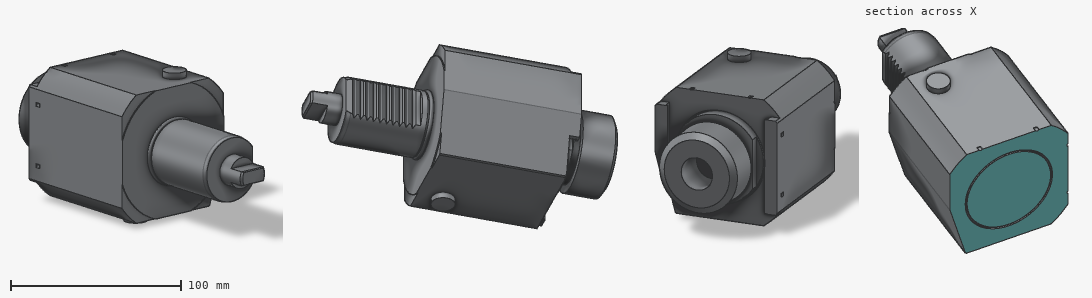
import cadquery as cq
import math

OVERALL_LENGTH = 185.0

NUT_RADIUS = 25.0
NUT_LENGTH = 22.4
NUT_CHAMFER_LENGTH = 2.4
NUT_CHAMFER_DEPTH = 4.0
BORE_RADIUS = 10.0
NECK_RADIUS = 20.0
NECK_END = 26.3
NECK_RELIEF_RADIUS = 19.2

COLLAR_RADIUS = 27.7
COLLAR_START = 28.5
COLLAR_FLAT_WIDTH = 46.2
GAP_RADIUS = 28.7
GAP_DEPTH = 1.8

HOUSING_START = 34.0
HOUSING_END = 112.6
HOUSING_WIDTH = 78.2
HALF_WIDTH = HOUSING_WIDTH / 2
HOUSING_CORNER_RADIUS = 48.0
SLANT_ANGLE = 15.0
REAR_DISC_RADIUS = 41.5
REAR_DISC_HEIGHT = 0.7

RAIL_START = 28.0
RAIL_WIDTH = 6.7
RAIL_TOP = 29.2
SHORT_RAIL_BOTTOM = -14.0
LIP_THICKNESS = 1.1
LIP_OVERHANG = 1.3

MARK_RADIUS = 1.5
MARK_DEPTH = 0.5
MARK_START = 34.5
MARK_LENGTH = 3.0
MARK_OFFSET = 18.7

BUTTON_RADIUS = 7.0
BUTTON_HEIGHT = 3.9
BUTTON_X = 96.0
BUTTON_OFFSET = 15.0

SEAL_RADIUS = 1.3
SEAL_CENTER_RADIUS = 19.6
SHANK_START = HOUSING_END + 2 * SEAL_RADIUS
SHANK_RADIUS = 20.0
SHANK_END = 165.5
SHANK_LEAD = 0.5
SHANK_FRONT_LEAD_LENGTH = 1.1
SHANK_REAR_LEAD_LENGTH = 2.2
SHANK_END_LAND = 0.7
FLAT_START = 119.7
FLAT_HEIGHT = 15.9
NOTCH_COUNT = 10
FIRST_NOTCH_X = 124.1
LAST_NOTCH_X = 160.2
NOTCH_PITCH = (LAST_NOTCH_X - FIRST_NOTCH_X) / (NOTCH_COUNT - 1)
NOTCH_DEPTH = 1.7
NOTCH_HALF_WIDTH = 1.5

TANG_RADIUS = 9.5
TANG_FLAT_START = 174.6
TANG_THICKNESS = 8.5
TANG_CHAMFER = 1.1
TANG_FLAT_TAPER = 0.4


def cylinder(start, end, radius):
    """Round bar about the X axis between two X stations."""
    return cq.Workplane("YZ", origin=(start, 0, 0)).circle(radius).extrude(end - start)


def block(x_range, y_range, z_range):
    """Box given by its limits along each axis."""
    lows, highs = zip(x_range, y_range, z_range)
    sizes = [high - low for low, high in zip(lows, highs)]
    return cq.Workplane("XY").box(*sizes, centered=False).translate(lows)


def housing_envelope(start, end):
    """Square bar with turned corners and one slanted side at +Y, -Z."""
    square = block((start, end), (-HALF_WIDTH, HALF_WIDTH), (-HALF_WIDTH, HALF_WIDTH))
    slant_run = HALF_WIDTH * math.tan(math.radians(SLANT_ANGLE))
    slant = (
        cq.Workplane("YZ", origin=(start, 0, 0))
        .polyline([(HALF_WIDTH, 0), (HALF_WIDTH, -HALF_WIDTH), (HALF_WIDTH - slant_run, -HALF_WIDTH)])
        .close()
        .extrude(end - start)
    )
    return square.intersect(cylinder(start, end, HOUSING_CORNER_RADIUS)).cut(slant)


def rail(side, bottom):
    """Vertical rail with an inward lip, on the side given by the sign of Y."""
    inner = HALF_WIDTH - RAIL_WIDTH
    lip_end = RAIL_START + LIP_THICKNESS
    outer_y = side * HALF_WIDTH
    web = block((RAIL_START, HOUSING_START), sorted((side * inner, outer_y)), (bottom, RAIL_TOP))
    lip_range = sorted((side * (inner - LIP_OVERHANG), outer_y))
    return web.union(block((RAIL_START, lip_end), lip_range, (bottom, RAIL_TOP)))


def make_housing():
    disc_start = HOUSING_END - REAR_DISC_HEIGHT
    body = housing_envelope(HOUSING_START, disc_start)
    rear_disc = cylinder(disc_start, HOUSING_END, REAR_DISC_RADIUS)
    body = body.union(housing_envelope(disc_start, HOUSING_END).intersect(rear_disc))

    rails = rail(-1, -RAIL_TOP).union(rail(1, SHORT_RAIL_BOTTOM))
    body = body.union(rails.intersect(housing_envelope(RAIL_START, HOUSING_START)))

    body = body.cut(cylinder(HOUSING_START, HOUSING_START + GAP_DEPTH, GAP_RADIUS))

    mark = cylinder(MARK_START, MARK_START + MARK_LENGTH, MARK_RADIUS)
    mark_axis = HALF_WIDTH + MARK_RADIUS - MARK_DEPTH
    for offset in (-MARK_OFFSET, MARK_OFFSET):
        body = body.cut(mark.translate((0, offset, mark_axis)))
        body = body.cut(mark.translate((0, -mark_axis, offset)))

    button = cq.Workplane("XY").circle(BUTTON_RADIUS).extrude(HALF_WIDTH + BUTTON_HEIGHT)
    body = body.union(button.translate((BUTTON_X, BUTTON_OFFSET, 0)))
    lower_button = button.mirror("XY").translate((BUTTON_X, -BUTTON_OFFSET, 0))
    return body.union(lower_button)


def make_nut():
    profile = [
        (0, 0),
        (0, NUT_RADIUS - NUT_CHAMFER_DEPTH),
        (NUT_CHAMFER_LENGTH, NUT_RADIUS),
        (NUT_LENGTH, NUT_RADIUS),
        (NUT_LENGTH, NECK_RADIUS),
        (NECK_END, NECK_RADIUS),
        (NECK_END, NECK_RELIEF_RADIUS),
        (COLLAR_START, NECK_RELIEF_RADIUS),
        (COLLAR_START, 0),
    ]
    nut = cq.Workplane("XY").polyline(profile).close().revolve(360, (0, 0, 0), (1, 0, 0))
    return nut.cut(cylinder(0, NUT_LENGTH, BORE_RADIUS))


def make_collar():
    half_flat = COLLAR_FLAT_WIDTH / 2
    collar = cylinder(COLLAR_START, HOUSING_START, COLLAR_RADIUS).intersect(
        block((COLLAR_START, HOUSING_START), (-half_flat, half_flat), (-COLLAR_RADIUS, COLLAR_RADIUS))
    )
    return collar.union(cylinder(HOUSING_START, HOUSING_START + GAP_DEPTH, COLLAR_RADIUS))


def make_shank():
    rear_land_start = SHANK_END - SHANK_END_LAND
    shank = (
        cq.Workplane("XY")
        .moveTo(HOUSING_END, 0)
        .lineTo(HOUSING_END, SEAL_CENTER_RADIUS)
        .threePointArc(
            (HOUSING_END + SEAL_RADIUS, SEAL_CENTER_RADIUS + SEAL_RADIUS),
            (SHANK_START, SEAL_CENTER_RADIUS),
        )
        .lineTo(SHANK_START, SHANK_RADIUS - SHANK_LEAD)
        .lineTo(SHANK_START + SHANK_FRONT_LEAD_LENGTH, SHANK_RADIUS)
        .lineTo(rear_land_start - SHANK_REAR_LEAD_LENGTH, SHANK_RADIUS)
        .lineTo(rear_land_start, SHANK_RADIUS - SHANK_LEAD)
        .lineTo(SHANK_END, SHANK_RADIUS - SHANK_LEAD)
        .lineTo(SHANK_END, 0)
        .close()
        .revolve(360, (0, 0, 0), (1, 0, 0))
    )
    z_range = (-SHANK_RADIUS, SHANK_RADIUS)
    shank = shank.cut(block((FLAT_START, SHANK_END), (FLAT_HEIGHT, SHANK_RADIUS), z_range))

    for index in range(NOTCH_COUNT):
        x = FIRST_NOTCH_X + index * NOTCH_PITCH
        notch = (
            cq.Workplane("XY")
            .polyline([
                (x - NOTCH_HALF_WIDTH, FLAT_HEIGHT),
                (x, FLAT_HEIGHT - NOTCH_DEPTH),
                (x + NOTCH_HALF_WIDTH, FLAT_HEIGHT),
            ])
            .close()
            .extrude(SHANK_RADIUS, both=True)
        )
        shank = shank.cut(notch)
    return shank


def make_tang():
    tang = cylinder(SHANK_END, OVERALL_LENGTH, TANG_RADIUS).faces(">X").chamfer(TANG_CHAMFER)
    half_thickness = TANG_THICKNESS / 2
    taper_start = OVERALL_LENGTH - TANG_CHAMFER
    tip_height = half_thickness - TANG_FLAT_TAPER

    clear_of_journal = 2 * TANG_RADIUS
    upper_outline = [
        (SHANK_END, clear_of_journal),
        (TANG_FLAT_START, clear_of_journal),
        (TANG_FLAT_START, half_thickness),
        (taper_start, half_thickness),
        (OVERALL_LENGTH, tip_height),
    ]
    lower_outline = [(x, -z) for x, z in reversed(upper_outline)]
    blade = (
        cq.Workplane("XZ")
        .polyline(upper_outline + lower_outline)
        .close()
        .extrude(clear_of_journal, both=True)
    )
    return tang.intersect(blade)


result = make_housing()
for section in (make_collar(), make_nut(), make_shank(), make_tang()):
    result = result.union(section)